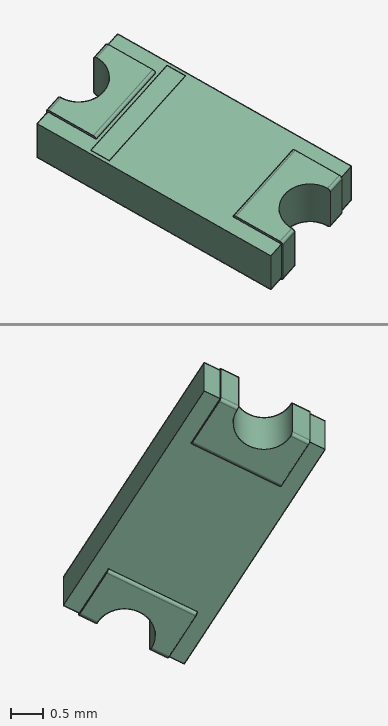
import cadquery as cq

length = 4.5
width = 2.15
height = 0.96

end_plating = 0.025
face_plating = 0.05
terminal_length = 0.95
terminal_width = 1.585
terminal_edge_radius = 0.055

notch_radius = 0.475
notch_inset = 0.05

stripe_length = 2.035
stripe_width = 0.35
stripe_gap = 0.06
stripe_height = 0.005

body_length = length - 2 * end_plating
body_height = height - 2 * face_plating
body_top = body_height / 2


def make_terminal(side):
    """Rounded block whose middle is buried in the substrate; side is -1 or +1 along X."""
    center_x = side * (length - terminal_length) / 2
    return (
        cq.Workplane("XY")
        .box(terminal_length, terminal_width, height)
        .edges("|Y")
        .fillet(terminal_edge_radius)
        .translate((center_x, 0, 0))
    )


def make_notch(side):
    """Upright round cutter centered just inside one end."""
    center_x = side * (length / 2 - notch_inset)
    return cq.Workplane("XY").center(center_x, 0).circle(notch_radius).extrude(height / 2, both=True)


def make_stripe():
    """Thin bar across the top face, just inboard of the -X terminal."""
    center_x = -length / 2 + terminal_length + stripe_gap + stripe_width / 2
    return (
        cq.Workplane("XY")
        .box(stripe_width, stripe_length, stripe_height, centered=(True, True, False))
        .translate((center_x, 0, body_top))
    )


result = cq.Workplane("XY").box(body_length, width, body_height)
for end in (-1, 1):
    result = result.union(make_terminal(end))
for end in (-1, 1):
    result = result.cut(make_notch(end))
result = result.union(make_stripe())